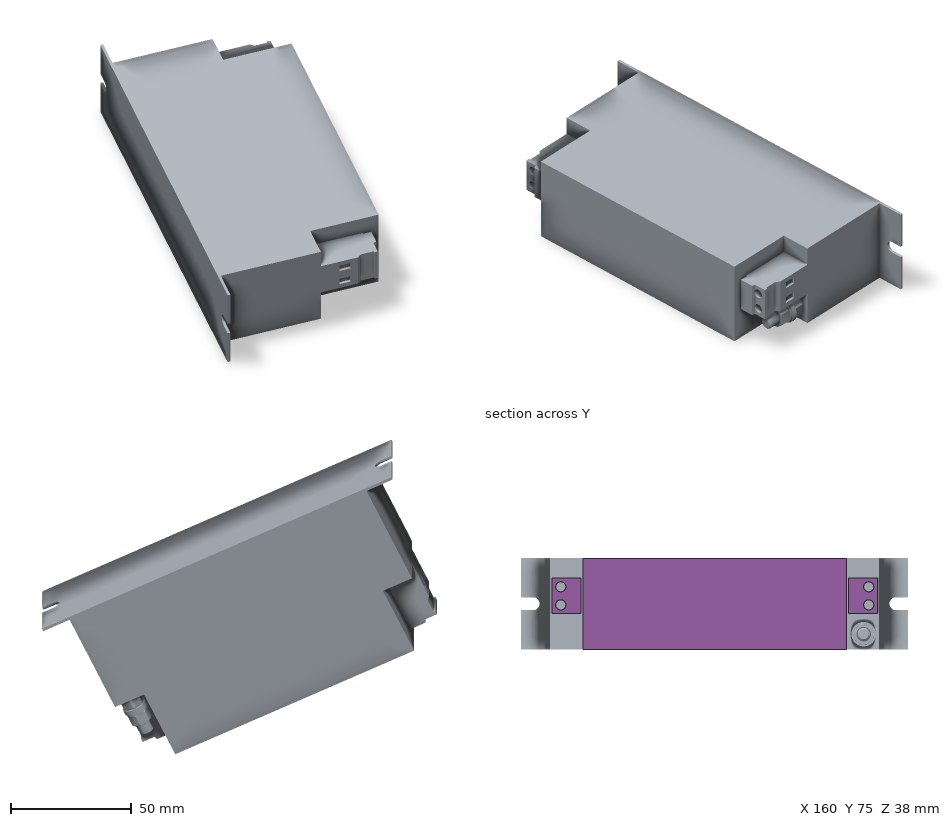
import cadquery as cq

BODY_HALF_WIDTH = 68.0
REAR_HALF_WIDTH = 54.7
BODY_DEPTH = 75.0
SHOULDER_Y = 45.0
HEIGHT = 38.0

PLATE_WIDTH = 160.0
PLATE_THICKNESS = 1.2
SLOT_WIDTH = 5.3
SLOT_DEPTH = 7.6

BLOCK_BOTTOM_Z = 14.9
BLOCK_HEIGHT = 14.9
BLOCK_FRONT_Y = 38.3
BLOCK_REAR_Y = 71.6
LEDGE_Y = 70.2
RISER_FOOT_X = 61.9
RISER_TOP_X = 61.5
LIP_X = 67.4
LIP_FRONT_Y = 68.7
WAIST_X = 66.7
FLARE_REAR_Y = 63.0
FLARE_FRONT_Y = 61.4
REAR_GAP = 0.5
REAR_GAP_FRONT_Y = 68.0

CONDUCTOR_PITCH = 7.5
WINDOW_LENGTH = 4.9
WINDOW_HEIGHT = 3.0
WINDOW_Y = 55.7
WINDOW_DEPTH = 1.2
SCREW_HOLE_DIAMETER = 4.0
SCREW_HOLE_X = 63.7
SCREW_HOLE_DEPTH = 2.0

STUD_X = -61.7
STUD_Z = 6.4
STUD_DIAMETER = 5.3
STUD_END_Y = 63.5
STUD_CHAMFER = 0.6
NUT_CORNER_DIAMETER = 9.24
NUT_CHAMFER = 0.4
BASE_NUT_HEIGHT = 5.0
BASE_NUT_TURN = 30.0
WASHER_DIAMETER = 10.1
WASHER_THICKNESS = 1.0
WASHER_COUNT = 2
SPRING_WASHER_DIAMETER = 9.0
SPRING_WASHER_THICKNESS = 1.0
TOP_NUT_HEIGHT = 4.9
TOP_NUT_TURN = 41.0


def make_housing():
    outline = [
        (-BODY_HALF_WIDTH, 0),
        (BODY_HALF_WIDTH, 0),
        (BODY_HALF_WIDTH, SHOULDER_Y),
        (REAR_HALF_WIDTH, SHOULDER_Y),
        (REAR_HALF_WIDTH, BODY_DEPTH),
        (-REAR_HALF_WIDTH, BODY_DEPTH),
        (-REAR_HALF_WIDTH, SHOULDER_Y),
        (-BODY_HALF_WIDTH, SHOULDER_Y),
    ]
    return cq.Workplane("XY").polyline(outline).close().extrude(HEIGHT)


def make_plate():
    plate = cq.Workplane("XY").box(PLATE_WIDTH, PLATE_THICKNESS, HEIGHT, centered=(True, False, False))
    slots = (
        cq.Workplane("XZ")
        .pushPoints([(-PLATE_WIDTH / 2, HEIGHT / 2), (PLATE_WIDTH / 2, HEIGHT / 2)])
        .slot2D(2 * SLOT_DEPTH, SLOT_WIDTH)
        .extrude(-PLATE_THICKNESS)
    )
    return plate.cut(slots)


def make_left_terminal_block():
    outline = [
        (-REAR_HALF_WIDTH, BLOCK_FRONT_Y),
        (-BODY_HALF_WIDTH, BLOCK_FRONT_Y),
        (-BODY_HALF_WIDTH, FLARE_FRONT_Y),
        (-WAIST_X, FLARE_REAR_Y),
        (-WAIST_X, LIP_FRONT_Y),
        (-LIP_X, LIP_FRONT_Y),
        (-LIP_X, LEDGE_Y),
        (-RISER_FOOT_X, LEDGE_Y),
        (-RISER_TOP_X, BLOCK_REAR_Y),
        (-REAR_HALF_WIDTH - REAR_GAP, BLOCK_REAR_Y),
        (-REAR_HALF_WIDTH - REAR_GAP, REAR_GAP_FRONT_Y),
        (-REAR_HALF_WIDTH, REAR_GAP_FRONT_Y),
    ]
    block = (
        cq.Workplane("XY", origin=(0, 0, BLOCK_BOTTOM_Z))
        .polyline(outline)
        .close()
        .extrude(BLOCK_HEIGHT)
    )

    middle_z = BLOCK_BOTTOM_Z + BLOCK_HEIGHT / 2
    for conductor_z in (middle_z - CONDUCTOR_PITCH / 2, middle_z + CONDUCTOR_PITCH / 2):
        window = cq.Workplane("XY").box(WINDOW_DEPTH, WINDOW_LENGTH, WINDOW_HEIGHT)
        window_x = -BODY_HALF_WIDTH + WINDOW_DEPTH / 2
        block = block.cut(window.translate((window_x, WINDOW_Y, conductor_z)))

        hole_length = BLOCK_REAR_Y - LEDGE_Y + SCREW_HOLE_DEPTH
        screw_hole = (
            cq.Workplane("XZ", origin=(-SCREW_HOLE_X, BLOCK_REAR_Y, conductor_z))
            .circle(SCREW_HOLE_DIAMETER / 2)
            .extrude(hole_length)
        )
        block = block.cut(screw_hole)
    return block


def stud_plane(y):
    """Work plane across the stud axis, with its normal pointing to the front (-Y)."""
    return cq.Workplane("XZ", origin=(STUD_X, y, STUD_Z))


def make_nut(start_y, height, turn):
    nut = stud_plane(start_y).polygon(6, NUT_CORNER_DIAMETER).extrude(-height)
    trimmer = make_disc(start_y, height, NUT_CORNER_DIAMETER).faces("<Y or >Y").chamfer(NUT_CHAMFER)
    nut = nut.intersect(trimmer)
    return nut.rotate((STUD_X, 0, STUD_Z), (STUD_X, 1, STUD_Z), turn)


def make_disc(start_y, thickness, diameter):
    return stud_plane(start_y).circle(diameter / 2).extrude(-thickness)


def make_earth_stud():
    stud = make_disc(SHOULDER_Y, STUD_END_Y - SHOULDER_Y, STUD_DIAMETER)
    stud = stud.faces(">Y").chamfer(STUD_CHAMFER)

    stud = stud.union(make_nut(SHOULDER_Y, BASE_NUT_HEIGHT, BASE_NUT_TURN))
    stack_y = SHOULDER_Y + BASE_NUT_HEIGHT
    for _ in range(WASHER_COUNT):
        stud = stud.union(make_disc(stack_y, WASHER_THICKNESS, WASHER_DIAMETER), clean=False)
        stack_y += WASHER_THICKNESS
    stud = stud.union(make_disc(stack_y, SPRING_WASHER_THICKNESS, SPRING_WASHER_DIAMETER), clean=False)
    stack_y += SPRING_WASHER_THICKNESS
    return stud.union(make_nut(stack_y, TOP_NUT_HEIGHT, TOP_NUT_TURN), clean=False)


left_block = make_left_terminal_block()
right_block = left_block.mirror("YZ")

result = make_housing().union(make_plate())
for component in (left_block, right_block, make_earth_stud()):
    result = result.union(component, clean=False)